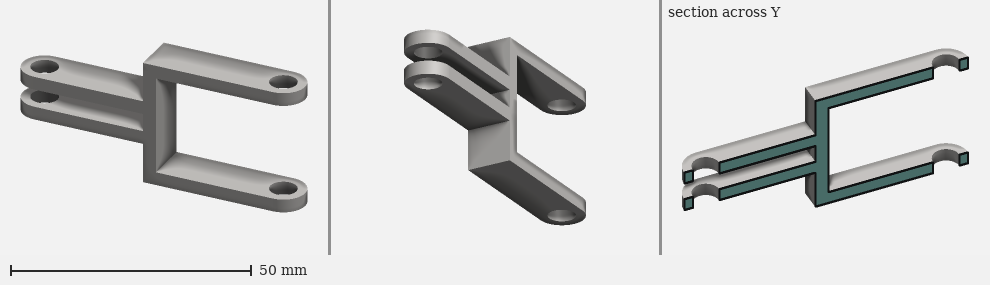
import cadquery as cq

length = 65.0
width = 10.0
height = 28.0
wall = 3.0
narrow_arm_length = 30.0
narrow_fork_height = 10.0
hole_diameter = 6.0

end_radius = width / 2
narrow_eye_x = end_radius
wide_eye_x = length - end_radius
plate_center_x = narrow_arm_length + wall / 2


def arm(eye_x, center_z):
    """Flat arm from the cross plate to a rounded, drilled eye."""
    bar = cq.Workplane("XY").box(abs(eye_x - plate_center_x), width, wall)
    bar = bar.translate(((eye_x + plate_center_x) / 2, 0, center_z))
    base = cq.Workplane("XY", origin=(eye_x, 0, center_z - wall / 2))
    eye = base.circle(end_radius).extrude(wall)
    hole = base.circle(hole_diameter / 2).extrude(wall)
    return bar.union(eye).cut(hole)


result = cq.Workplane("XY").box(wall, width, height).translate((plate_center_x, 0, 0))

for eye_x, fork_height in ((narrow_eye_x, narrow_fork_height), (wide_eye_x, height)):
    arm_z = (fork_height - wall) / 2
    for side in (-1, 1):
        result = result.union(arm(eye_x, side * arm_z))